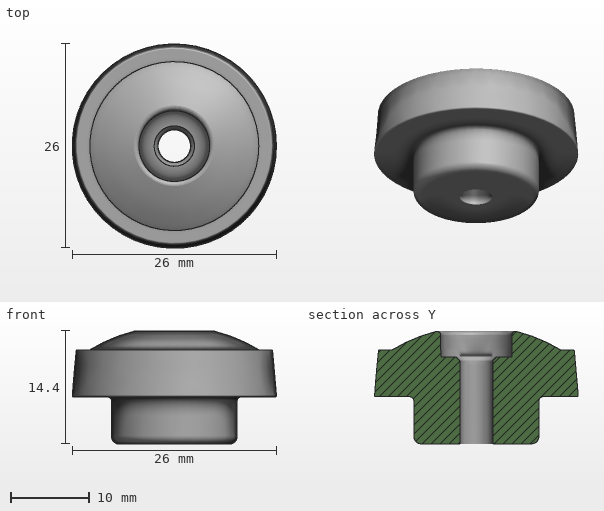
import cadquery as cq
import math

hub_height = 6.0
rim_height = 6.0
dome_height = 3.0
rim_top_z = hub_height + rim_height
apex_z = rim_top_z + dome_height

hub_radius = 16.0 / 2
hub_end_fillet = 1.0
hub_root_fillet = 0.5

rim_outer_radius = 26.0 / 2
rim_draft_angle = 5.0
rim_edge_fillet = 0.2
draft = math.radians(rim_draft_angle)
rounding_loss = rim_edge_fillet * ((1 + math.sin(draft)) / math.cos(draft) - 1)
rim_base_radius = rim_outer_radius + rounding_loss

dome_base_radius = 10.75
dome_sphere_radius = (dome_base_radius**2 + dome_height**2) / (2 * dome_height)

bore_radius = 9.0 / 2
bore_depth = 3.9
bore_floor_z = apex_z - bore_depth
bore_lip_fillet = 0.5
hole_radius = 4.13 / 2
hole_chamfer = 0.5
chamfer_angle = 45


def make_disc(radius, bottom_z, height, taper=0):
    return cq.Workplane("XY").workplane(offset=bottom_z).circle(radius).extrude(height, taper=taper)


def make_rim():
    rim = make_disc(rim_base_radius, hub_height, rim_height, rim_draft_angle)
    return rim.faces("<Z or >Z").edges().fillet(rim_edge_fillet)


def make_hub():
    hub = make_disc(hub_radius, 0, hub_height)
    return hub.faces("<Z").edges().fillet(hub_end_fillet)


def make_hub_root():
    """Concave ring that blends the hub into the underside of the rim."""
    root_z = hub_height - hub_root_fillet
    arc_offset = hub_root_fillet * (1 - math.sqrt(0.5))
    profile = (
        cq.Workplane("XZ")
        .moveTo(0, root_z)
        .lineTo(hub_radius, root_z)
        .threePointArc(
            (hub_radius + arc_offset, hub_height - arc_offset),
            (hub_radius + hub_root_fillet, hub_height),
        )
        .lineTo(0, hub_height)
        .close()
    )
    return profile.revolve()


def make_dome():
    """Spherical cap on the rim with a rounded counterbore mouth."""
    sphere_center_z = apex_z - dome_sphere_radius
    sphere = cq.Workplane("XY").sphere(dome_sphere_radius).translate((0, 0, sphere_center_z))
    space_above_rim = make_disc(dome_sphere_radius, rim_top_z, dome_sphere_radius)
    bore = make_disc(bore_radius, rim_top_z, dome_height)
    dome = sphere.intersect(space_above_rim).cut(bore)
    return dome.edges(">Z").fillet(bore_lip_fillet)


def cut_bore_and_hole(body):
    """Continue the counterbore into the rim, then cut the chamfered through hole."""
    bore = make_disc(bore_radius, bore_floor_z, rim_top_z - bore_floor_z)
    hole = make_disc(hole_radius, 0, bore_floor_z)
    chamfer = make_disc(hole_radius + hole_chamfer, bore_floor_z, -hole_chamfer, chamfer_angle)
    return body.cut(bore).cut(hole).cut(chamfer)


lower_body = make_rim().union(make_hub()).union(make_hub_root())
result = cut_bore_and_hole(lower_body).union(make_dome())